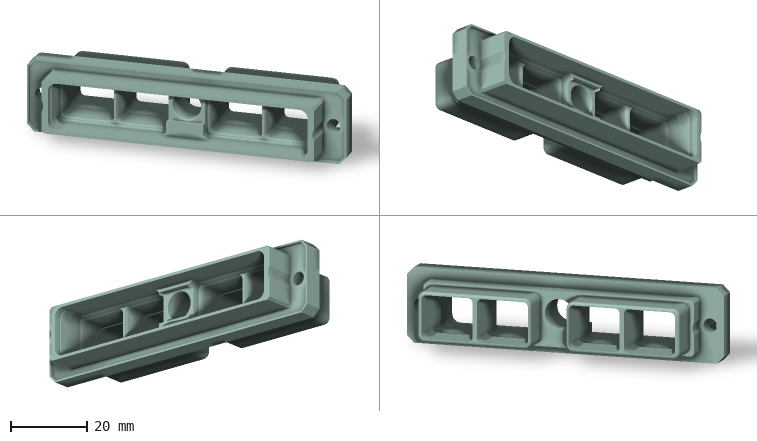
import cadquery as cq
import math


flange_width = 87.93
flange_height = 20.33
flange_front = 7.7
flange_back = 12.75
flange_corner_cut = 2.0
rim_width = 0.5
rim_depth = 1.0
recess_floor = flange_front + rim_depth

mount_hole_spacing = 80.3
mount_hole_diameter = 3.7
screw_head_diameter = 6.2

body_width = 75.0
body_height = 15.07
body_back = 18.05
body_corner_cut = 0.7
corner_pad_length = 0.4

tower_inner_gap = 9.8
tower_width = 31.35
tower_height = 13.5
tower_back = 26.73
tower_corner_radius = 1.9
tower_edge_round = 0.8

cavity_width = 70.85
cavity_height = 13.45
cavity_floor = 8.2
cavity_corner_radius = 2.4
mouth_depth = 2.2
mouth_side_step = 0.3

block_width = 10.1
block_front = 5.9
block_corner_radius = 1.6
slot_bottom = -2.8
slot_top = 5.85
slot_depth = 1.9
guide_hole_diameter = 7.75
guide_hole_edge_cut = 0.25
guide_hole_edge_angle = 45

draft_angle = 15
slope = math.tan(math.radians(draft_angle))
first_draft_length = 1.2
land_length = 0.5
land_start = cavity_floor + first_draft_length
land_end = land_start + land_length
land_height = cavity_height - 2 * first_draft_length * slope

window_width = 14.15
window_height = 11.7
window_corner_radius = 1.3
window_centers = (28.05, 12.72)
second_draft_length = 0.95
entry_corner_radius = 1.6


def prism(width, height, front, back, x=0, z=0, corner_radius=0, taper=0):
    """Rectangular bar along Y, optionally with rounded corners and drafted sides."""
    plane = cq.Plane(origin=(x, front, z), xDir=(1, 0, 0), normal=(0, 1, 0))
    section = cq.Sketch().rect(width, height)
    if corner_radius:
        section = section.vertices().fillet(corner_radius)
    return cq.Workplane(plane).placeSketch(section).extrude(back - front, taper=taper)


def cylinder(diameter, front, back, x=0, z=0):
    """Round bar along Y."""
    plane = cq.Plane(origin=(x, front, z), xDir=(1, 0, 0), normal=(0, 1, 0))
    return cq.Workplane(plane).circle(diameter / 2).extrude(back - front)


def make_flange():
    flange = prism(flange_width, flange_height, flange_front, flange_back)
    flange = flange.edges("|Y").chamfer(flange_corner_cut)
    rim_corner_cut = flange_corner_cut - rim_width * (2 - math.sqrt(2))
    recess = prism(
        flange_width - 2 * rim_width,
        flange_height - 2 * rim_width,
        flange_front,
        recess_floor,
    )
    recess = recess.edges("|Y").chamfer(rim_corner_cut)
    return flange.cut(recess)


def make_body():
    body = prism(body_width, body_height, 0, body_back).edges("|Y").chamfer(body_corner_cut)
    body = body.union(prism(body_width, body_height, recess_floor - corner_pad_length, recess_floor))
    for side in (-1, 1):
        body = body.cut(cylinder(screw_head_diameter, 0, body_back, side * mount_hole_spacing / 2))
    return body


def make_tower(side):
    x = side * (tower_inner_gap + tower_width) / 2
    tower = prism(tower_width, tower_height, body_back, tower_back, x, 0, tower_corner_radius)
    return tower.faces(">Y").edges().fillet(tower_edge_round)


def make_cavity_half(side):
    width = (cavity_width - block_width) / 2
    x = side * (cavity_width + block_width) / 4
    outline = prism(width, cavity_height, block_front, land_end, x, 0, block_corner_radius)
    straight = prism(width, cavity_height, block_front, cavity_floor, x)
    draft = prism(cavity_width, cavity_height, cavity_floor, land_start, x, 0, 0, draft_angle)
    land = prism(width, land_height, land_start, land_end, x)
    return outline.intersect(straight.union(draft).union(land))


def make_cavity():
    mouth_width = cavity_width + 2 * mouth_side_step
    mouth = prism(mouth_width, cavity_height, 0, mouth_depth, 0, 0, cavity_corner_radius)
    cavity = prism(cavity_width, cavity_height, 0, block_front, 0, 0, cavity_corner_radius)
    return cavity.union(mouth).union(make_cavity_half(-1)).union(make_cavity_half(1))


def make_window(x):
    chamber_start = land_end + second_draft_length
    draft_shrink = 2 * second_draft_length * slope
    entry_width = window_width + draft_shrink
    chamber_height = land_height - draft_shrink

    entry = prism(
        entry_width, land_height, land_end, chamber_start, x, 0, entry_corner_radius, draft_angle
    )
    chamber = prism(
        window_width, chamber_height, chamber_start, body_back, x, 0, window_corner_radius
    )
    window = prism(window_width, window_height, land_end, tower_back, x, 0, window_corner_radius)
    return window.union(entry).union(chamber)


def make_guide_opening():
    slot_floor = block_front + slot_depth
    slot_center = (slot_bottom + slot_top) / 2
    slot = prism(block_width, slot_top - slot_bottom, block_front, slot_floor, 0, slot_center)
    hole = cylinder(guide_hole_diameter, slot_floor, body_back, 0, slot_center)
    plane = cq.Plane(origin=(0, slot_floor, slot_center), xDir=(1, 0, 0), normal=(0, 1, 0))
    outer_radius = guide_hole_diameter / 2 + guide_hole_edge_cut
    countersink = cq.Workplane(plane).circle(outer_radius)
    countersink = countersink.extrude(guide_hole_edge_cut, taper=guide_hole_edge_angle)
    return slot.union(hole).union(countersink)


def make_mounting_hole(side):
    x = side * mount_hole_spacing / 2
    return cylinder(mount_hole_diameter, flange_front, flange_back, x)


result = make_body().union(make_flange())
for side in (-1, 1):
    result = result.union(make_tower(side))
result = result.cut(make_cavity()).cut(make_guide_opening())
for side in (-1, 1):
    for window_center in window_centers:
        result = result.cut(make_window(side * window_center))
    result = result.cut(make_mounting_hole(side))